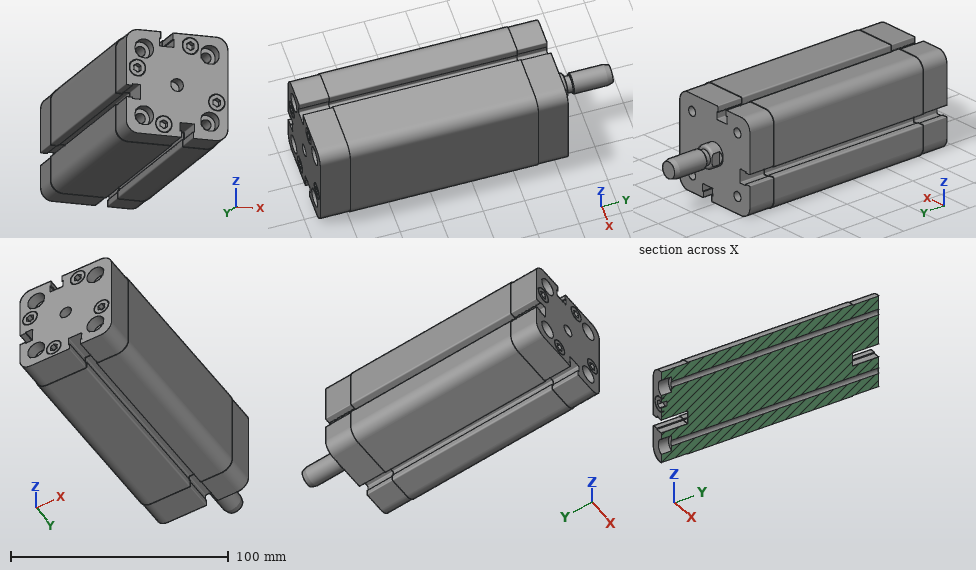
import cadquery as cq
import math


total_length = 147.5
rod_length = 28.0
cap_length = 14.5
housing_length = total_length - rod_length

tube_width = 50.2
cap_inset = 0.3
cap_width = tube_width - 2 * cap_inset
tube_corner_radius = 6.2
cap_corner_radius = tube_corner_radius - cap_inset

slot_offset = 5.0
tube_slot_floor = 18.1
tube_slot_lip = 21.4
tube_slot_mouth = 5.2
tube_slot_undercut = 6.5
tube_slot_edge_radius = 0.7
slot_floor_radius = 0.5
cap_slot_mouth = tube_slot_mouth + 2 * cap_inset
cap_slot_undercut = tube_slot_undercut + 2 * cap_inset
cap_slot_floor = tube_slot_floor - cap_inset
cap_slot_lip = tube_slot_lip + cap_inset
cap_slot_edge_radius = tube_slot_edge_radius - cap_inset
slot_turns = (0, 90, 180)

mount_spacing = 32.0
mount_hole_diameter = 4.9
mount_counterbore_diameter = 9.0
mount_counterbore_depth = 5.6

centring_diameter = 6.0
centring_depth = 6.0

screw_offset = 6.5
screw_height = 19.3
screw_head_diameter = 7.5
screw_recess_diameter = 8.0
screw_gap_depth = 1.5
hex_across_flats = 3.5
hex_depth = 3.0
hex_turn = 30

rod_diameter = 12.0
rod_edge_radius = 1.3
shoulder_length = 6.0
wrench_flat_width = 10.0
wrench_flat_length = 4.5
neck_diameter = 8.0
neck_length = 2.7
thread_diameter = 10.0
thread_back_chamfer = 0.5
tip_diameter = 8.5
tip_taper_length = 2.7


def bar(y_start, length, sketch):
    """Extrude an outline drawn in X and Z toward +Y."""
    plane = cq.Workplane("XZ", origin=(0, y_start, 0))
    return sketch(plane).extrude(-length)


def t_slots(y_start, length, width, mouth, undercut, floor, lip, edge_radius):
    """T-slots with rounded mouth edges and floor corners, one on each slotted side."""
    top = width / 2
    half_mouth = mouth / 2
    half_undercut = undercut / 2
    half_top = half_mouth + edge_radius
    arc_start = top - edge_radius
    arc_step = edge_radius * (1 - math.sqrt(0.5))

    def outline(plane):
        return (
            plane.center(-slot_offset, 0)
            .moveTo(-half_undercut, floor)
            .lineTo(half_undercut, floor)
            .lineTo(half_undercut, lip)
            .lineTo(half_mouth, lip)
            .lineTo(half_mouth, arc_start)
            .threePointArc((half_mouth + arc_step, top - arc_step), (half_top, top))
            .lineTo(-half_top, top)
            .threePointArc((-half_mouth - arc_step, top - arc_step), (-half_mouth, arc_start))
            .lineTo(-half_mouth, lip)
            .lineTo(-half_undercut, lip)
            .close()
        )

    slot = bar(y_start, length, outline)
    slot = slot.faces("<Z").edges("|Y").fillet(slot_floor_radius)
    slots = cq.Workplane()
    for turn in slot_turns:
        slots = slots.add(slot.rotate((0, 0, 0), (0, 1, 0), -turn))
    return slots.combine()


def section(y_start, length, width, corner_radius, mouth, undercut, floor, lip, edge_radius):
    """Square length of housing with rounded corners and T-slots."""
    block = bar(y_start, length, lambda plane: plane.rect(width, width)).edges("|Y").fillet(corner_radius)
    return block.cut(t_slots(y_start, length, width, mouth, undercut, floor, lip, edge_radius))


def cap(y_start):
    return section(
        y_start, cap_length, cap_width, cap_corner_radius,
        cap_slot_mouth, cap_slot_undercut, cap_slot_floor, cap_slot_lip, cap_slot_edge_radius,
    )


def tube():
    return section(
        cap_length, housing_length - 2 * cap_length, tube_width, tube_corner_radius,
        tube_slot_mouth, tube_slot_undercut, tube_slot_floor, tube_slot_lip, tube_slot_edge_radius,
    )


def mounting_holes():
    def holes(length, diameter):
        return bar(
            0, length,
            lambda plane: plane.rect(mount_spacing, mount_spacing, forConstruction=True)
            .vertices().circle(diameter / 2),
        )

    through = holes(housing_length, mount_hole_diameter)
    return through.union(holes(mount_counterbore_depth, mount_counterbore_diameter))


def centring_hole():
    return bar(0, centring_depth, lambda plane: plane.circle(centring_diameter / 2))


def screw_cuts():
    """Ring gap around each screw head and its hexagon socket; the hexagons all point up."""
    hex_diameter = hex_across_flats / math.cos(math.pi / 6)
    centres = [
        (screw_offset, screw_height),
        (screw_height, -screw_offset),
        (-screw_offset, -screw_height),
        (-screw_height, screw_offset),
    ]
    gaps = bar(
        0, screw_gap_depth,
        lambda plane: plane.pushPoints(centres).circle(screw_recess_diameter / 2)
        .circle(screw_head_diameter / 2),
    )
    hexagon = bar(0, hex_depth, lambda plane: plane.polygon(6, hex_diameter))
    hexagon = hexagon.rotate((0, 0, 0), (0, 1, 0), hex_turn)
    cuts = gaps
    for x, z in centres:
        cuts = cuts.union(hexagon.translate((x, 0, z)))
    return cuts


def piston_rod():
    """Turned rod: shoulder, neck and threaded end with tapered tip."""
    rod_radius = rod_diameter / 2
    neck_radius = neck_diameter / 2
    thread_radius = thread_diameter / 2
    shoulder_end = housing_length + shoulder_length
    thread_start = shoulder_end + neck_length
    profile = [
        (0, housing_length),
        (rod_radius, housing_length),
        (rod_radius, shoulder_end),
        (neck_radius, shoulder_end),
        (neck_radius, thread_start),
        (thread_radius - thread_back_chamfer, thread_start),
        (thread_radius, thread_start + thread_back_chamfer),
        (thread_radius, total_length - tip_taper_length),
        (tip_diameter / 2, total_length),
        (0, total_length),
    ]
    rod = cq.Workplane("XY").polyline(profile).close().revolve(360, (0, 0, 0), (0, 1, 0))
    shoulder_face = rod.faces(cq.selectors.NearestToPointSelector((0, shoulder_end, 0)))
    return shoulder_face.edges(cq.selectors.RadiusNthSelector(-1)).fillet(rod_edge_radius)


def wrench_flats():
    """Two flats across X at the shoulder's outer end, each running out at 45 degrees."""
    half_width = wrench_flat_width / 2
    shoulder_end = housing_length + shoulder_length
    flat_end = shoulder_end - wrench_flat_length
    runout = rod_diameter / 2 - half_width
    flat = (
        cq.Workplane("XY")
        .moveTo(half_width, shoulder_end)
        .lineTo(half_width, flat_end)
        .lineTo(half_width + runout, flat_end - runout)
        .lineTo(half_width + runout, shoulder_end)
        .close()
        .extrude(rod_diameter / 2, both=True)
    )
    return flat.union(flat.mirror("YZ"))


housing = tube().union(cap(0)).union(cap(housing_length - cap_length))
housing = housing.cut(mounting_holes()).cut(centring_hole()).cut(screw_cuts())
result = housing.union(piston_rod().cut(wrench_flats()))